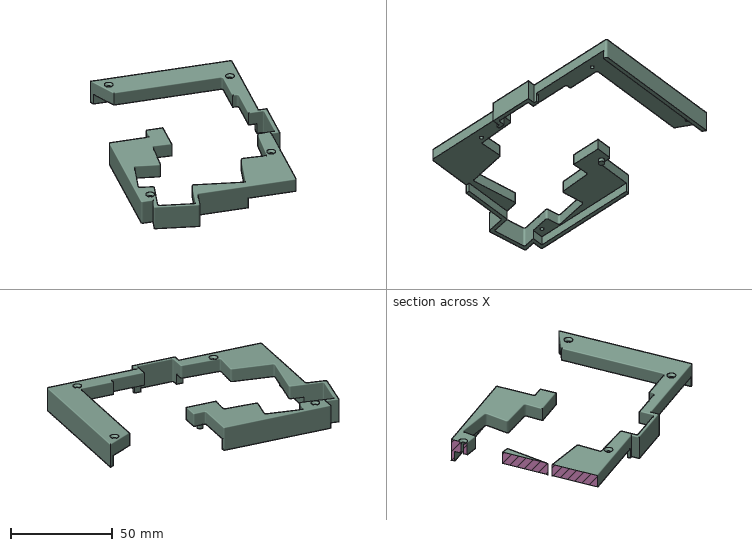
import cadquery as cq
import math

height = 12.4
deck_underside = 5.5
wall = 2.0

frame_width = 117.1
frame_depth = 79.2

arm_width = 14.4
arm_tip_outer_y = 7.0
arm_tip_inner_y = 15.0
rail_front_y = 70.6
rail_step_x = 32.4
rail_step_y = 73.5

bump_left = 48.5
bump_right = 72.1
bump_back = 83.5

stub_length = 1.5
stub_thickness = 1.5

right_wall_end = 54.5

block_left = 58.5
tab_left = 52.0
tab_front_y = 20.6
tab_back_y = 29.4

box_tilt = 10
slight_tilt = 3

box_mouth = (107.8, 28.4)
box_top_length = 17.7
box_side_length = 18.6
box_bottom_length = 18.0
notch_side_length = 7.8
notch_front_length = 19.6
block_side_length = 13.1
block_back_length = 18.1
side_edge_length = 26.5
bay_back_length = 22.3
bay_side_length = 13.0

corner_radius = 1.0
small_radius = 0.6
rim_radius = 0.5

hole_diameter = 1.9
sink_diameter = 4.3
sink_angle = 90
hole_centers = [(14.3, 74.3), (88.5, 74.3), (5.9, 14.8), (111.2, 6.1)]

stud_diameter = 3.0
stud_bottom = 3.3
stud_center = (56.2, 22.4)


def move(point, length, angle):
    """Return the point reached from a start by a length along an angle in degrees."""
    turn = math.radians(angle)
    return (point[0] + length * math.cos(turn), point[1] + length * math.sin(turn))


def height_at(point, x):
    """Return y at the given x on the box-tilted line through a point."""
    return point[1] - (x - point[0]) * math.tan(math.radians(box_tilt))


box_right = -box_tilt
box_left = 180 - box_tilt
box_up = 90 - box_tilt
box_down = -90 - box_tilt

box_inner_back = move(box_mouth, box_top_length, box_right)
box_inner_front = move(box_inner_back, box_side_length, box_down)
notch_top = move(box_inner_front, box_bottom_length, box_left)
notch_right = move(notch_top, notch_side_length, box_down)
notch_left = move(notch_right, notch_front_length, box_left)
block_corner = move(notch_left, block_side_length, box_up)
tab_root = move(block_corner, block_back_length, 180 - slight_tilt)
tab_corner_x = tab_root[0] + (tab_back_y - tab_root[1]) * math.tan(math.radians(slight_tilt))

bay_right = move(box_mouth, side_edge_length, box_up)
bay_left = move(bay_right, bay_back_length, box_left)
bay_top = move(bay_left, bay_side_length, 90 - slight_tilt)
bump_inner_right = bump_right - wall
bump_inner_front_y = bay_top[1] + (bay_top[0] - bump_inner_right) * math.tan(math.radians(slight_tilt))

box_outer_back = move(move(box_inner_back, wall, box_right), wall, box_up)
box_outer_front = move(move(box_inner_front, wall, box_right), wall, box_down)

rounded = corner_radius
slight = small_radius
sharp = 0
outline = [
    ((0, arm_tip_outer_y), sharp),
    ((0, frame_depth), rounded),
    ((bump_left, frame_depth), sharp),
    ((bump_left, bump_back), sharp),
    ((bump_right, bump_back), sharp),
    ((bump_right, frame_depth), sharp),
    ((frame_width, frame_depth), rounded),
    ((frame_width, height_at(box_outer_back, frame_width)), rounded),
    (box_outer_back, rounded),
    (box_outer_front, slight),
    ((frame_width, height_at(box_outer_front, frame_width)), sharp),
    ((frame_width, 0), rounded),
    ((block_left, 0), slight),
    ((block_left, tab_front_y), slight),
    ((tab_left, tab_front_y), slight),
    ((tab_left, tab_back_y), sharp),
    ((tab_corner_x, tab_back_y), sharp),
    (tab_root, rounded),
    (block_corner, rounded),
    (notch_left, rounded),
    (notch_right, rounded),
    (notch_top, rounded),
    (box_inner_front, rounded),
    (box_inner_back, slight),
    (box_mouth, rounded),
    (bay_right, slight),
    (bay_left, rounded),
    (bay_top, slight),
    ((bump_inner_right, bump_inner_front_y), rounded),
    ((bump_inner_right, bump_back - wall), slight),
    ((bump_left + wall, bump_back - wall), slight),
    ((bump_left + wall, rail_step_y), sharp),
    ((rail_step_x, rail_step_y), rounded),
    ((rail_step_x, rail_front_y), sharp),
    ((arm_width, rail_front_y), rounded),
    ((arm_width, arm_tip_inner_y), sharp),
]


def make_frame():
    """Full-height frame with rounded corners and a rounded top rim."""
    frame = cq.Workplane("XY").polyline([point for point, _ in outline]).close().extrude(height)
    for (x, y), radius in outline:
        if radius > 0:
            corner = cq.selectors.NearestToPointSelector((x, y, height / 2))
            frame = frame.edges("|Z").edges(corner).fillet(radius)
    return frame.faces(">Z").edges().fillet(rim_radius)


def block(left, front, right, back):
    """Box from the bottom of the part to the underside of the deck."""
    return (
        cq.Workplane("XY")
        .box(right - left, back - front, deck_underside, centered=False)
        .translate((left, front, 0))
    )


def make_cavity():
    """Space under the deck, open to the back on both sides of the bump."""
    inside = block(wall, wall, frame_width - wall, frame_depth - stub_thickness)
    open_left = block(wall, wall, bump_left - stub_length, bump_back)
    open_right = block(bump_right + stub_length, right_wall_end, frame_width, bump_back)
    return inside.union(open_left).union(open_right)


def make_stud():
    """Round stud hanging below the tab, its upper end sunk into the deck."""
    return (
        cq.Workplane("XY", origin=(0, 0, stud_bottom))
        .center(*stud_center)
        .circle(stud_diameter / 2)
        .extrude(height / 2 - stud_bottom)
    )


result = make_frame().cut(make_cavity()).union(make_stud())
result = (
    result.faces(">Z")
    .workplane(origin=(0, 0, height))
    .pushPoints(hole_centers)
    .cskHole(hole_diameter, sink_diameter, sink_angle)
)